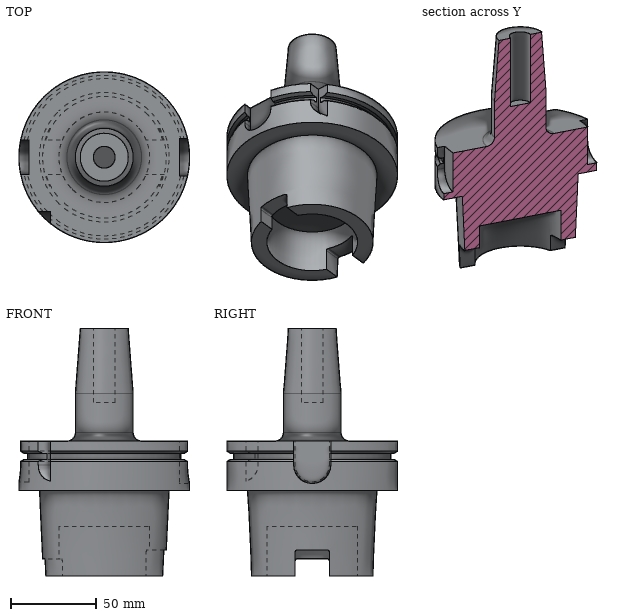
import cadquery as cq

total_height = 145.0
flange_bottom = 50.0
flange_top = 79.0
nose_taper_start = 107.0

flange_radius = 50.0
shank_top_radius = 38.0
shank_end_radius = 35.7
neck_radius = 17.0
nose_tip_radius = 14.0
neck_fillet = 5.0

groove_bottom = 68.3
groove_top = 71.8
groove_floor_radius = 46.1
groove_chamfer_radius = 48.0
groove_chamfer_height = 1.3

bore_radius = 6.4
bore_depth = 43.5
cavity_radius = 26.5
cavity_depth = 29.0

slot_center_height = 65.1
left_slot_radius = 10.0
right_slot_radius = 10.9
side_slot_wall = 44.1
corner_notch_wall = 31.6
corner_notch_edge = 31.8

left_drive_height = 10.0
right_drive_height = 15.2
drive_slot_width = 2 * left_slot_radius
drive_slot_round = 1.2


def revolved_body():
    return (
        cq.Workplane("XZ")
        .moveTo(0, 0)
        .lineTo(shank_end_radius, 0)
        .lineTo(shank_top_radius, flange_bottom)
        .lineTo(flange_radius, flange_bottom)
        .lineTo(flange_radius, groove_bottom - groove_chamfer_height)
        .lineTo(groove_chamfer_radius, groove_bottom)
        .lineTo(groove_floor_radius, groove_bottom)
        .lineTo(groove_floor_radius, groove_top)
        .lineTo(groove_chamfer_radius, groove_top)
        .lineTo(flange_radius, groove_top + groove_chamfer_height)
        .lineTo(flange_radius, flange_top)
        .lineTo(neck_radius + neck_fillet, flange_top)
        .radiusArc((neck_radius, flange_top + neck_fillet), neck_fillet)
        .lineTo(neck_radius, nose_taper_start)
        .lineTo(nose_tip_radius, total_height)
        .lineTo(0, total_height)
        .close()
        .revolve(360, (0, 0, 0), (0, 1, 0))
    )


def rim_slot(radius, center_y, wall_x, side):
    """Upright slot with a round bottom, running outward along X from wall_x."""
    length = side * flange_radius
    return (
        cq.Workplane("YZ", origin=(wall_x, 0, 0))
        .moveTo(center_y - radius, flange_top)
        .lineTo(center_y - radius, slot_center_height)
        .threePointArc(
            (center_y, slot_center_height - radius),
            (center_y + radius, slot_center_height),
        )
        .lineTo(center_y + radius, flange_top)
        .close()
        .extrude(length)
    )


def drive_slot(height, side):
    """Slot from the shank axis out through one side, with rounded top corners."""
    return (
        cq.Workplane("XY")
        .box(flange_radius, drive_slot_width, height, centered=(True, True, False))
        .edges("|X and >Z")
        .fillet(drive_slot_round)
        .translate((side * flange_radius / 2, 0, 0))
    )


bore = cq.Workplane("XY", origin=(0, 0, total_height)).circle(bore_radius).extrude(-bore_depth)
cavity = cq.Workplane("XY").circle(cavity_radius).extrude(cavity_depth)

result = revolved_body().cut(bore).cut(cavity)

corner_notch_center = -(corner_notch_edge + left_slot_radius)
result = result.cut(rim_slot(left_slot_radius, 0, -side_slot_wall, -1))
result = result.cut(rim_slot(right_slot_radius, 0, side_slot_wall, 1))
result = result.cut(rim_slot(left_slot_radius, corner_notch_center, -corner_notch_wall, -1))

result = result.cut(drive_slot(left_drive_height, -1))
result = result.cut(drive_slot(right_drive_height, 1))